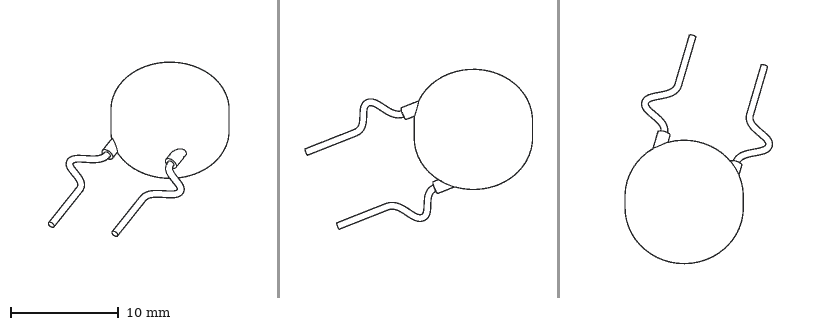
import cadquery as cq

disc_diameter = 11.0
disc_height = 5.0
edge_radius = 1.0

lead_diameter = 0.65
lead_spacing = 6.9
lead_offset = lead_spacing / 2
lead_level = disc_height / 2 - edge_radius
overall_length = 21.0
kink_width = 2.5
kink_length = disc_height
end_pull = 1.47
bulge_pull = 1.0

sleeve_diameter = 1.2
sleeve_end = -disc_diameter / 2
lead_tip = disc_diameter / 2 - overall_length

SIDES = (-1, 1)


def make_sleeve(side):
    """Stub from inside the disc to the plane where the lead comes out."""
    return (
        cq.Workplane("XZ", origin=(side * lead_offset, 0, side * lead_level))
        .circle(sleeve_diameter / 2)
        .extrude(-sleeve_end)
    )


def make_housing():
    """Disc with rounded rims and its two sleeves, as one coated body."""
    housing = (
        cq.Workplane("XY", origin=(0, 0, -disc_height / 2))
        .circle(disc_diameter / 2)
        .extrude(disc_height)
        .edges("%CIRCLE")
        .fillet(edge_radius)
    )
    for side in SIDES:
        housing = housing.union(make_sleeve(side))
    return housing


def make_lead(side):
    """Round wire that starts on the sleeve face, bulges outward, then runs straight."""
    x = side * lead_offset
    bulge_x = x + side * kink_width
    bulge_y = sleeve_end - kink_length / 2
    kink_end = sleeve_end - kink_length
    path = (
        cq.Workplane("XY", origin=(0, 0, side * lead_level))
        .moveTo(x, sleeve_end)
        .bezier([
            (x, sleeve_end),
            (x, sleeve_end - end_pull),
            (bulge_x, bulge_y + bulge_pull),
            (bulge_x, bulge_y),
        ])
        .bezier([
            (bulge_x, bulge_y),
            (bulge_x, bulge_y - bulge_pull),
            (x, kink_end + end_pull),
            (x, kink_end),
        ])
        .lineTo(x, lead_tip)
    )
    return (
        cq.Workplane("XZ", origin=(x, sleeve_end, side * lead_level))
        .circle(lead_diameter / 2)
        .sweep(path)
    )


housing = make_housing()
leads = [make_lead(side) for side in SIDES]

result = cq.Compound.makeCompound([housing.solids().val(), *[lead.val() for lead in leads]])